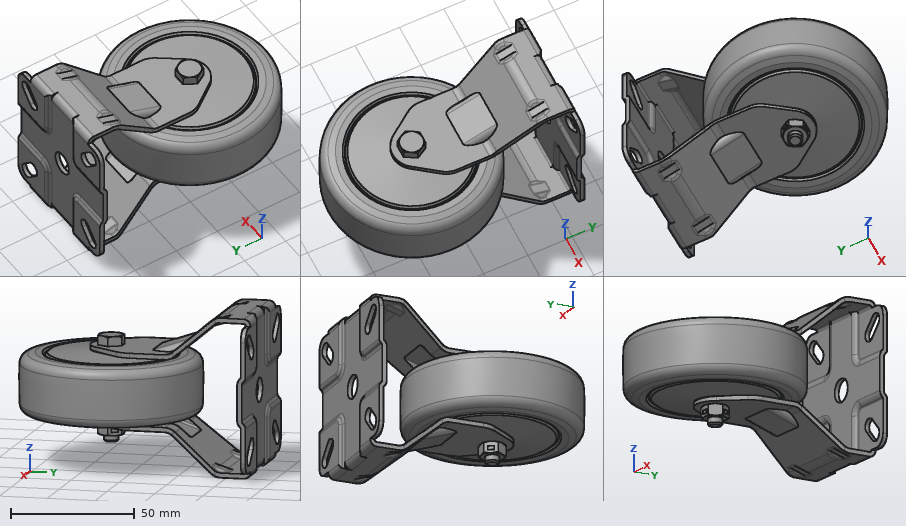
import cadquery as cq
import math


SHEET = 2.0
PLATE_Y = 63.5
PLATE_SIZE = 60.0
PLATE_CORNER_R = 5.0
CENTRE_HOLE_R = 5.0
SLOT_OUTER = 24.0
SLOT_INNER = 19.2
SLOT_R = 3.0
CHANNEL_DEPTH = 1.5
CHANNEL_HALF_X = 8.6
CHANNEL_HALF_Z = 8.0
PAD_CORNER_R = 5.0
PAD_WALL_ANGLE = 45.0
PAD_TOP_ROUND_R = 2.25
PAD_FLOOR_ROUND_R = 2.0
PAD_FOOT_MARGIN = 0.05

ROOT_Z = 33.0
ARM_Z = 16.0
PLATE_BEND_R = 3.0
UPPER_BEND_R = 7.0
LOWER_BEND_R = 5.0
UPPER_BEND_Y = 51.2
ARM_ANGLE = 40.0
ROOT_HALF_WIDTH = 21.1
ARM_HALF_WIDTH = 17.65
TAPER_START_Y = 48.6
TAPER_END_Y = 30.1
SHOULDER_Y = 11.9
TIP_Y = -8.5
OUTLINE_R = 10.0

GROOVE_ENDS = (53.65, 45.65)
GROOVE_X = 15.0
GROOVE_HALF = 1.75
GROOVE_WALL = 2.0
GROOVE_RIM_R = 3.0
BUMP_ENDS = (34.6, 19.4)
BUMP_HALF = 10.6
BUMP_ROUND_R = 2.85
BEAD_MARGIN = 3.0
BEAD_REACH = 4.0

BOLT_R = 3.0
HEX_FLATS = 10.0
HEAD_HEIGHT = 4.0
NUT_HEIGHT = 5.0
BOLT_END_Z = -24.0
BOLT_CHAMFER = 0.7
HEX_CHAMFER_ANGLE = 30.0
DENT_WIDTH = 2.8
DENT_HEIGHT = 1.6
DENT_DEPTH = 0.15
DENT_Z = -18.8
DENTS = 3

TREAD_R = 37.5
TREAD_EDGE_R = 37.3
TREAD_EDGE_Z = 8.3
TREAD_ROUND_R = 4.0
ROUND_END_R = 34.0
ROUND_END_Z = 12.05
SIDE_R = 31.0
SIDE_Z = 12.7
RING_GROOVE_RIM_Z = 12.56
RING_GROOVE_OUTER_R = 28.0
RING_GROOVE_INNER_R = 26.0
RING_GROOVE_FLOOR_WIDTH = 0.4
RING_GROOVE_FLOOR_Z = 11.7
SEAM_R = (RING_GROOVE_OUTER_R + RING_GROOVE_INNER_R) / 2
HUB_EDGE_Z = 12.65
HUB_CENTRE_Z = 15.1

ANGLE = math.radians(ARM_ANGLE)
DROP_BETWEEN_CENTRES = ROOT_Z - UPPER_BEND_R - ARM_Z - LOWER_BEND_R
LOWER_BEND_Y = UPPER_BEND_Y - (
    UPPER_BEND_R + LOWER_BEND_R + DROP_BETWEEN_CENTRES * math.cos(ANGLE)
) / math.sin(ANGLE)


def outward(angle):
    """Direction in YZ at an angle turned from +Z toward -Y."""
    return -math.sin(angle), math.cos(angle)


def bend_point(centre, radius, angle):
    direction = outward(angle)
    return centre[0] + radius * direction[0], centre[1] + radius * direction[1]


UPPER_CENTRE = (UPPER_BEND_Y, ROOT_Z - UPPER_BEND_R)
LOWER_CENTRE = (LOWER_BEND_Y, ARM_Z + LOWER_BEND_R)


def side_profile(back_y, inset):
    """Solid under the fork contour, moved inward by inset, with its back at back_y."""
    corner = (back_y - PLATE_BEND_R, ROOT_Z - PLATE_BEND_R)
    corner_r = PLATE_BEND_R - inset
    upper_r = UPPER_BEND_R - inset
    lower_r = LOWER_BEND_R + inset
    end_y = TIP_Y - SHEET
    half = (
        cq.Workplane("YZ", origin=(-PLATE_SIZE / 2, 0, 0))
        .moveTo(end_y, 0)
        .lineTo(back_y - inset, 0)
        .lineTo(*bend_point(corner, corner_r, -math.pi / 2))
        .threePointArc(bend_point(corner, corner_r, -math.pi / 4), bend_point(corner, corner_r, 0))
        .lineTo(*bend_point(UPPER_CENTRE, upper_r, 0))
        .threePointArc(
            bend_point(UPPER_CENTRE, upper_r, ANGLE / 2), bend_point(UPPER_CENTRE, upper_r, ANGLE)
        )
        .lineTo(*bend_point(LOWER_CENTRE, -lower_r, ANGLE))
        .threePointArc(
            bend_point(LOWER_CENTRE, -lower_r, ANGLE / 2), bend_point(LOWER_CENTRE, -lower_r, 0)
        )
        .lineTo(end_y, ARM_Z - inset)
        .close()
        .extrude(PLATE_SIZE)
    )
    return half.union(half.mirror("XY"))


def pad_regions(inset):
    """Four blocks over the plate corners, with sloped and rounded walls along the channel."""
    top_y = PLATE_Y - inset
    floor_y = top_y - CHANNEL_DEPTH
    shift = inset * math.tan(math.radians(PAD_WALL_ANGLE) / 2)
    floor_corner = (CHANNEL_HALF_X + shift, 0, CHANNEL_HALF_Z + shift)
    centre = [edge + PLATE_SIZE / 2 for edge in floor_corner]
    floor_round_r = PAD_FLOOR_ROUND_R + inset
    foot = floor_round_r * math.tan(math.radians(PAD_WALL_ANGLE) / 2) + PAD_FOOT_MARGIN
    foot_size = PLATE_SIZE + 2 * foot
    pad = (
        cq.Workplane("XZ", origin=(centre[0], floor_y, centre[2]))
        .placeSketch(cq.Sketch().rect(PLATE_SIZE, PLATE_SIZE).vertices().fillet(PAD_CORNER_R - shift))
        .extrude(-CHANNEL_DEPTH, taper=PAD_WALL_ANGLE)
        .faces(">Y")
        .edges()
        .fillet(PAD_TOP_ROUND_R - inset)
    )
    base = (
        cq.Workplane("XZ", origin=(centre[0], floor_y, centre[2]))
        .rect(foot_size, foot_size)
        .extrude(PLATE_BEND_R)
    )
    pad = base.union(pad)
    floor = pad.faces("+Y").faces("<Y").val()
    pad = cq.Workplane(pad.val().fillet(floor_round_r, floor.innerWires()[0].Edges()))
    pads = pad.union(pad.mirror("YZ"))
    return pads.union(pads.mirror("XY"))


def surface_point(y):
    """Point at y on the outer face of the upper arm, on one of its three flat stretches."""
    slope_y, slope_z = bend_point(UPPER_CENTRE, UPPER_BEND_R, ANGLE)
    if y >= UPPER_BEND_Y:
        return y, ROOT_Z
    if y <= LOWER_BEND_Y:
        return y, ARM_Z
    return y, slope_z - (slope_y - y) * math.tan(ANGLE)


def chord_plane(ends, x):
    """Plane across the bead at the end of its flat; local Z runs along the flat, local Y outward."""
    start_y, start_z = surface_point(ends[0])
    end_y, end_z = surface_point(ends[1])
    along = cq.Vector(0, end_y - start_y, end_z - start_z)
    origin = cq.Vector(x, start_y, start_z) - along.normalized() * BEAD_MARGIN
    plane = cq.Plane(origin=origin, xDir=(1, 0, 0), normal=along)
    return plane, along.Length + 2 * BEAD_MARGIN


def groove_prism(x, inset):
    """Trapezoid prism that widens outward from a flat floor across the upper bend."""
    plane, length = chord_plane(GROOVE_ENDS, x)
    half = GROOVE_HALF + inset * math.tan(math.atan2(1, GROOVE_WALL) / 2)
    half_wide = half + GROOVE_WALL * BEAD_REACH
    rim = BEAD_REACH - inset
    return (
        cq.Workplane(plane)
        .polyline([(-half, -inset), (half, -inset), (half_wide, rim), (-half_wide, rim)])
        .close()
        .extrude(length)
    )


def groove_rims(body, x):
    """Edges where the grooves at x meet the outer faces of both arms."""
    low = (x - GROOVE_WALL * BEAD_REACH, GROOVE_ENDS[1] - BEAD_MARGIN, -ROOT_Z)
    high = (x + GROOVE_WALL * BEAD_REACH, GROOVE_ENDS[0] + BEAD_MARGIN, ROOT_Z)
    flat_length = GROOVE_ENDS[0] - GROOVE_ENDS[1]
    edges = body.edges(cq.selectors.BoxSelector(low, high)).vals()
    return [edge for edge in edges if edge.geomType() != "LINE" or edge.Length() < flat_length]


def bump_prism(inset):
    """Prism with a flat top and rounded flanks that bridges the lower bend."""
    plane, length = chord_plane(BUMP_ENDS, 0)
    half = BUMP_HALF - inset
    base = -BUMP_ROUND_R - BEAD_REACH
    return (
        cq.Workplane(plane)
        .moveTo(-half, base)
        .lineTo(-half, -BUMP_ROUND_R)
        .radiusArc((-BUMP_HALF + BUMP_ROUND_R, -inset), BUMP_ROUND_R - inset)
        .lineTo(BUMP_HALF - BUMP_ROUND_R, -inset)
        .radiusArc((half, -BUMP_ROUND_R), BUMP_ROUND_R - inset)
        .lineTo(half, base)
        .close()
        .extrude(length)
    )


def fork_envelope(inset):
    """Embossed fork shape moved inward by inset and filled solid."""
    pads = side_profile(PLATE_Y, inset).intersect(pad_regions(inset))
    body = side_profile(PLATE_Y - CHANNEL_DEPTH, inset).union(pads)
    for x in (-GROOVE_X, GROOVE_X):
        groove = groove_prism(x, inset)
        body = body.cut(groove).cut(groove.mirror("XY"))
        if inset < GROOVE_RIM_R:
            body = cq.Workplane(body.val().fillet(GROOVE_RIM_R - inset, groove_rims(body, x)))
    bump = bump_prism(inset)
    return body.union(bump).union(bump.mirror("XY"))


def plate_blank():
    back_y = PLATE_Y - CHANNEL_DEPTH - SHEET
    return (
        cq.Workplane("XZ", origin=(0, back_y, 0))
        .rect(PLATE_SIZE, PLATE_SIZE)
        .extrude(back_y - PLATE_Y)
        .edges("|Y")
        .fillet(PLATE_CORNER_R)
    )


def arm_blank():
    """Arm outline through the full height: tapered root and a tip with rounded shoulders."""
    tip_centre_y = TIP_Y + OUTLINE_R
    shoulder_x = ARM_HALF_WIDTH - OUTLINE_R
    flank = math.atan2(shoulder_x, SHOULDER_Y - tip_centre_y)

    def on_arc(x, y, angle):
        return x + OUTLINE_R * math.cos(angle), y - OUTLINE_R * math.sin(angle)

    half = (
        cq.Workplane("XY", origin=(0, 0, -ROOT_Z))
        .moveTo(0, PLATE_Y)
        .lineTo(ROOT_HALF_WIDTH, PLATE_Y)
        .lineTo(ROOT_HALF_WIDTH, TAPER_START_Y)
        .lineTo(ARM_HALF_WIDTH, TAPER_END_Y)
        .lineTo(ARM_HALF_WIDTH, SHOULDER_Y)
        .threePointArc(on_arc(shoulder_x, SHOULDER_Y, flank / 2), on_arc(shoulder_x, SHOULDER_Y, flank))
        .lineTo(*on_arc(0, tip_centre_y, flank))
        .threePointArc(on_arc(0, tip_centre_y, (flank + math.pi / 2) / 2), (0, TIP_Y))
    )
    return half.mirrorY().extrude(2 * ROOT_Z)


def plate_slots():
    """Four diagonal slots, one in each plate corner."""
    middle = (SLOT_OUTER + SLOT_INNER) / 2
    length = math.sqrt(2) * (SLOT_OUTER - SLOT_INNER) + 2 * SLOT_R
    slot = (
        cq.Workplane("XZ", origin=(0, PLATE_Y, 0))
        .center(middle, middle)
        .transformed(rotate=(0, 0, 45))
        .slot2D(length, 2 * SLOT_R)
        .extrude(2 * SHEET + CHANNEL_DEPTH)
    )
    slots = slot.union(slot.mirror("YZ"))
    return slots.union(slots.mirror("XY"))


def make_bracket():
    sheet = fork_envelope(0).cut(fork_envelope(SHEET))
    blank = arm_blank().union(plate_blank())
    axle_hole = cq.Workplane("XY").circle(BOLT_R).extrude(ROOT_Z, both=True)
    centre_hole = cq.Workplane("XZ", origin=(0, PLATE_Y, 0)).circle(CENTRE_HOLE_R).extrude(2 * SHEET)
    return sheet.intersect(blank).cut(plate_slots()).cut(centre_hole).cut(axle_hole)


def make_tyre():
    floor_r = SEAM_R + RING_GROOVE_FLOOR_WIDTH / 2
    return (
        cq.Workplane("XZ")
        .moveTo(SEAM_R, -RING_GROOVE_FLOOR_Z)
        .lineTo(floor_r, -RING_GROOVE_FLOOR_Z)
        .lineTo(RING_GROOVE_OUTER_R, -RING_GROOVE_RIM_Z)
        .lineTo(SIDE_R, -SIDE_Z)
        .lineTo(ROUND_END_R, -ROUND_END_Z)
        .radiusArc((TREAD_EDGE_R, -TREAD_EDGE_Z), -TREAD_ROUND_R)
        .threePointArc((TREAD_R, 0), (TREAD_EDGE_R, TREAD_EDGE_Z))
        .radiusArc((ROUND_END_R, ROUND_END_Z), -TREAD_ROUND_R)
        .lineTo(SIDE_R, SIDE_Z)
        .lineTo(RING_GROOVE_OUTER_R, RING_GROOVE_RIM_Z)
        .lineTo(floor_r, RING_GROOVE_FLOOR_Z)
        .lineTo(SEAM_R, RING_GROOVE_FLOOR_Z)
        .close()
        .revolve(360, (0, 0), (0, 1))
    )


def make_hub(bracket):
    """Hub with shallow conical faces, recessed where the arms sit on them."""
    floor_r = SEAM_R - RING_GROOVE_FLOOR_WIDTH / 2
    rim = [
        (0, HUB_CENTRE_Z),
        (RING_GROOVE_INNER_R, HUB_EDGE_Z),
        (floor_r, RING_GROOVE_FLOOR_Z),
        (SEAM_R, RING_GROOVE_FLOOR_Z),
    ]
    lower_rim = [(r, -z) for r, z in reversed(rim)]
    hub = cq.Workplane("XZ").polyline(rim + lower_rim).close().revolve(360, (0, 0), (0, 1))
    bore = cq.Workplane("XY").circle(BOLT_R).extrude(HUB_CENTRE_Z, both=True)
    return hub.cut(bore).cut(bracket)


def hexagon(base_z, height):
    """Hexagonal prism with flats facing +Y and -Y."""
    corners = HEX_FLATS / math.cos(math.pi / 6)
    return cq.Workplane("XY", origin=(0, 0, base_z)).polygon(6, corners).extrude(height)


def chamfer_cone(face_z, direction):
    """Cone around Z that trims the hexagon corners at the face at face_z."""
    slope = math.tan(math.radians(HEX_CHAMFER_ANGLE))
    apex_z = face_z + direction * HEX_FLATS / 2 * slope
    wide_r = 2 * HEX_FLATS
    wide_z = apex_z - direction * wide_r * slope
    return (
        cq.Workplane("XZ")
        .polyline([(0, apex_z), (wide_r, wide_z), (0, wide_z)])
        .close()
        .revolve(360, (0, 0), (0, 1))
    )


def make_bolt():
    head_top = ARM_Z + HEAD_HEIGHT
    head = hexagon(ARM_Z, HEAD_HEIGHT).intersect(chamfer_cone(head_top, 1))
    shank = (
        cq.Workplane("XY", origin=(0, 0, BOLT_END_Z))
        .circle(BOLT_R)
        .extrude(ARM_Z - BOLT_END_Z)
        .faces("<Z")
        .chamfer(BOLT_CHAMFER)
    )
    return head.union(shank)


def make_nut():
    """Hexagon nut with a shallow dent in every second flat."""
    bottom = -ARM_Z - NUT_HEIGHT
    nut = hexagon(bottom, NUT_HEIGHT)
    nut = nut.intersect(chamfer_cone(bottom, -1)).intersect(chamfer_cone(-ARM_Z, 1))
    nut = nut.cut(cq.Workplane("XY", origin=(0, 0, bottom)).circle(BOLT_R).extrude(NUT_HEIGHT))
    dent = cq.Workplane("XY").box(DENT_WIDTH, 2 * DENT_DEPTH, DENT_HEIGHT)
    dent = dent.translate((0, -HEX_FLATS / 2, DENT_Z))
    for i in range(DENTS):
        nut = nut.cut(dent.rotate((0, 0, 0), (0, 0, 1), i * 360 / DENTS))
    return nut


bracket = make_bracket()
tyre = make_tyre()
hub = make_hub(bracket)
bolt = make_bolt()
nut = make_nut()

result = cq.Compound.makeCompound([bracket.val(), tyre.val(), hub.val(), bolt.val(), nut.val()])